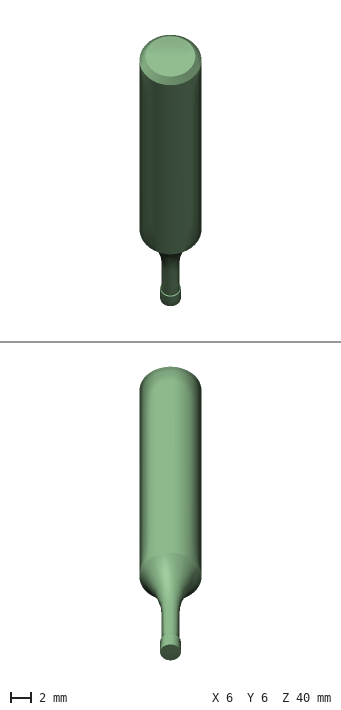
import cadquery as cq
import math

total_length = 40.0
shank_radius = 6.0 / 2
neck_radius = 1.75 / 2
head_radius = 2.0 / 2
head_length = 1.6
neck_top = 5.95
flare_radius = 8.0
chamfer = 0.6

flare_centre_x = neck_radius + flare_radius


def flare_height_at(radius):
    """Height on the flare arc where the tool has the given radius."""
    return neck_top + math.sqrt(flare_radius**2 - (flare_centre_x - radius) ** 2)


def flare_midpoint(top_height):
    """Point halfway along the flare arc."""
    half_angle = math.asin((top_height - neck_top) / flare_radius) / 2
    return (
        flare_centre_x - flare_radius * math.cos(half_angle),
        neck_top + flare_radius * math.sin(half_angle),
    )


def make_head():
    """Short cylindrical cutting head at the tip."""
    return cq.Workplane("XY").circle(head_radius).extrude(head_length)


def make_shank():
    """Shank with its chamfered end, concave flare and thin neck, revolved about Z."""
    shank_bottom = flare_height_at(shank_radius)
    return (
        cq.Workplane("XZ")
        .moveTo(0, head_length)
        .lineTo(neck_radius, head_length)
        .lineTo(neck_radius, neck_top)
        .threePointArc(flare_midpoint(shank_bottom), (shank_radius, shank_bottom))
        .lineTo(shank_radius, total_length - chamfer)
        .lineTo(shank_radius - chamfer, total_length)
        .lineTo(0, total_length)
        .close()
        .revolve(360, (0, 0, 0), (0, 1, 0))
    )


head = make_head()
shank = make_shank()

result = cq.Compound.makeCompound([head.val(), shank.val()])